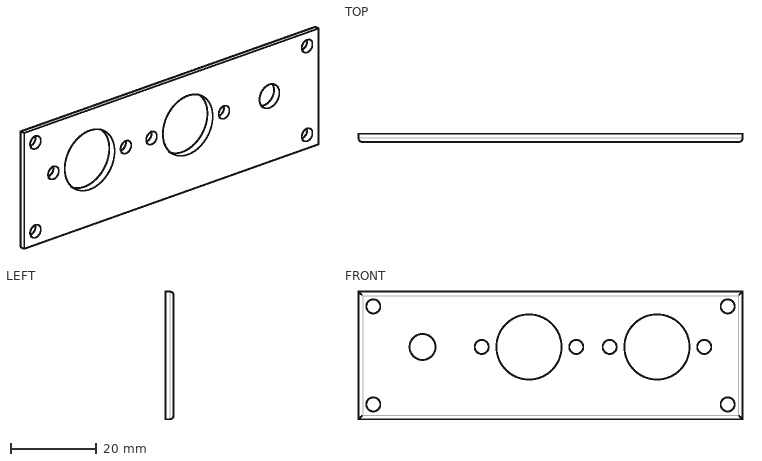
import cadquery as cq

plate_length = 90.1
plate_height = 30.0
plate_thickness = 2.0
front_edge_radius = 1.0

screw_hole_diameter = 3.2
screw_hole_inset = 3.5

connector_height = 2.0
jack_hole_diameter = 6.0
jack_hole_x = -30.0
socket_hole_diameter = 15.2
socket_hole_xs = (-5.05, 25.0)
socket_screw_offset = 11.1


def make_plate():
    """Flat plate with its back face on Y = 0 and rounded front edges."""
    plate = cq.Workplane("XY").box(
        plate_length, plate_thickness, plate_height, centered=(True, False, True)
    )
    plate = plate.translate((0, -plate_thickness, 0))
    return plate.faces("<Y").edges().fillet(front_edge_radius)


def through_holes(centers, diameter):
    """Cylinders that cross the plate from back to front at (x, z) centers."""
    return cq.Workplane("XZ").pushPoints(centers).circle(diameter / 2).extrude(plate_thickness)


def corner_screw_holes():
    x = plate_length / 2 - screw_hole_inset
    z = plate_height / 2 - screw_hole_inset
    centers = [(-x, -z), (-x, z), (x, -z), (x, z)]
    return through_holes(centers, screw_hole_diameter)


def jack_hole():
    return through_holes([(jack_hole_x, connector_height)], jack_hole_diameter)


def socket_holes(socket_x):
    """Round socket opening with a screw hole on either side."""
    opening = through_holes([(socket_x, connector_height)], socket_hole_diameter)
    screw_centers = [
        (socket_x - socket_screw_offset, connector_height),
        (socket_x + socket_screw_offset, connector_height),
    ]
    return opening.add(through_holes(screw_centers, screw_hole_diameter)).combine()


result = make_plate().cut(corner_screw_holes()).cut(jack_hole())
for socket_hole_x in socket_hole_xs:
    result = result.cut(socket_holes(socket_hole_x))